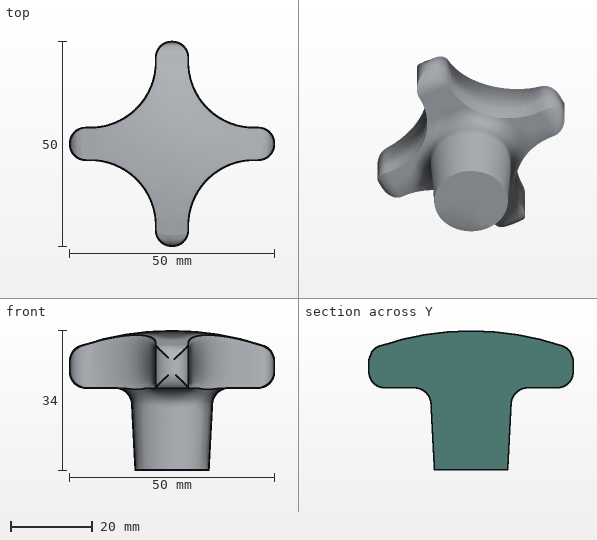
import cadquery as cq
import math

TOTAL_HEIGHT = 34.0
SPAN = 50.0
HEAD_BOTTOM = 20.0

ARM_COUNT = 4
ARM_WIDTH = 8.0
NOTCH_END = 20.75
NOTCH_THROAT = 12.25
DOME_RADIUS = 70.0
RIM_FILLET = 4.0

STEM_BOTTOM_RADIUS = 9.0
STEM_TAPER_DEG = 3.0
STEM_FILLET = 4.0

outer_radius = SPAN / 2
arm_half_width = ARM_WIDTH / 2
tip_center = outer_radius - arm_half_width


def dome_height(radius):
    """Height of the spherical top at a given distance from the axis."""
    sphere_center_z = TOTAL_HEIGHT - DOME_RADIUS
    return sphere_center_z + math.sqrt(DOME_RADIUS**2 - radius**2)


def domed_disc():
    """Disc with a spherical top and both rim edges rounded."""
    mid_radius = outer_radius / 2
    disc = (
        cq.Workplane("XZ")
        .moveTo(0, HEAD_BOTTOM)
        .lineTo(outer_radius, HEAD_BOTTOM)
        .lineTo(outer_radius, dome_height(outer_radius))
        .threePointArc((mid_radius, dome_height(mid_radius)), (0, TOTAL_HEIGHT))
        .close()
        .revolve(360, (0, 0), (0, 1))
    )
    return disc.edges("%CIRCLE").fillet(RIM_FILLET)


def tapered_stem():
    """Cone widening upward, flaring through a tangent fillet into the head's underside."""
    taper = math.radians(STEM_TAPER_DEG)
    fillet_center_z = HEAD_BOTTOM - STEM_FILLET
    fillet_center_x = (
        STEM_BOTTOM_RADIUS + fillet_center_z * math.tan(taper) + STEM_FILLET / math.cos(taper)
    )

    def fillet_point(angle):
        """Point on the flare, its angle measured up from the inward horizontal."""
        return (
            fillet_center_x - STEM_FILLET * math.cos(angle),
            fillet_center_z + STEM_FILLET * math.sin(angle),
        )

    flare_start = taper
    flare_end = math.pi / 2
    return (
        cq.Workplane("XZ")
        .moveTo(0, 0)
        .lineTo(STEM_BOTTOM_RADIUS, 0)
        .lineTo(*fillet_point(flare_start))
        .threePointArc(fillet_point((flare_start + flare_end) / 2), fillet_point(flare_end))
        .lineTo(0, HEAD_BOTTOM)
        .close()
        .revolve(360, (0, 0), (0, 1))
    )


def cross_prism():
    """Full-height prism of four round-tipped arms joined by round hollows."""

    def turned(x, y, angle):
        """Point (x, y) turned about Z by an angle."""
        return (
            x * math.cos(angle) - y * math.sin(angle),
            x * math.sin(angle) + y * math.cos(angle),
        )

    throat_offset = NOTCH_THROAT * math.sqrt(0.5)
    outline = cq.Workplane("XY").moveTo(tip_center, -arm_half_width)
    for arm in range(ARM_COUNT):
        angle = arm * 2 * math.pi / ARM_COUNT
        outline = (
            outline.threePointArc(
                turned(outer_radius, 0, angle), turned(tip_center, arm_half_width, angle)
            )
            .lineTo(*turned(NOTCH_END, arm_half_width, angle))
            .threePointArc(
                turned(throat_offset, throat_offset, angle),
                turned(arm_half_width, NOTCH_END, angle),
            )
            .lineTo(*turned(arm_half_width, tip_center, angle))
        )
    return outline.close().extrude(TOTAL_HEIGHT)


result = domed_disc().union(tapered_stem()).intersect(cross_prism())